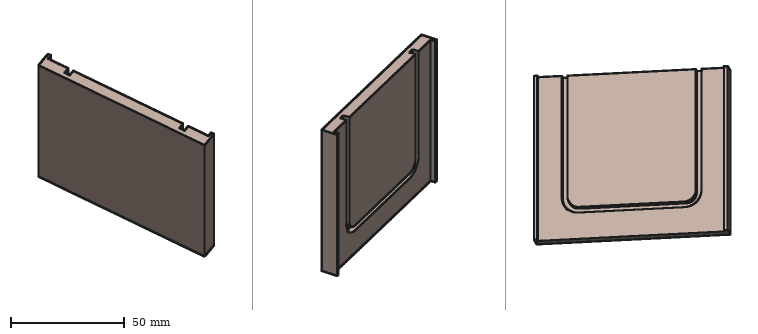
import cadquery as cq

LENGTH = 86.6
THICKNESS = 7.8
HEIGHT = 75.0

RAIL_WIDTH = 1.5
RAIL_HEIGHT = 2.25

GROOVE_WIDTH = 2.6
GROOVE_DEPTH = 3.0
GROOVE_MARGIN = 12.0
BEND_OUTER_RADIUS = 7.5

recessed_face_y = THICKNESS / 2 - RAIL_HEIGHT


def make_plate():
    """Plate with its +Y face recessed between the two side rails."""
    plate = cq.Workplane("XY").box(LENGTH, THICKNESS, HEIGHT)
    recess = (
        cq.Workplane("XY")
        .box(LENGTH - 2 * RAIL_WIDTH, RAIL_HEIGHT, HEIGHT)
        .translate((0, THICKNESS / 2 - RAIL_HEIGHT / 2, 0))
    )
    return plate.cut(recess)


def make_channel_block(inset, bend_radius):
    """Block from the top edge down, with rounded lower corners, sunk below the recessed face.

    The inset is the distance to the plate's sides and to its bottom edge.
    """
    block_height = HEIGHT - inset
    return (
        cq.Workplane("XY")
        .box(LENGTH - 2 * inset, GROOVE_DEPTH, block_height)
        .edges("|Y and <Z")
        .fillet(bend_radius)
        .translate((0, recessed_face_y - GROOVE_DEPTH / 2, inset / 2))
    )


def make_groove():
    """U-shaped groove of constant width: the outer block less the island inside it."""
    outer = make_channel_block(GROOVE_MARGIN, BEND_OUTER_RADIUS)
    island = make_channel_block(GROOVE_MARGIN + GROOVE_WIDTH, BEND_OUTER_RADIUS - GROOVE_WIDTH)
    return outer.cut(island)


result = make_plate().cut(make_groove())